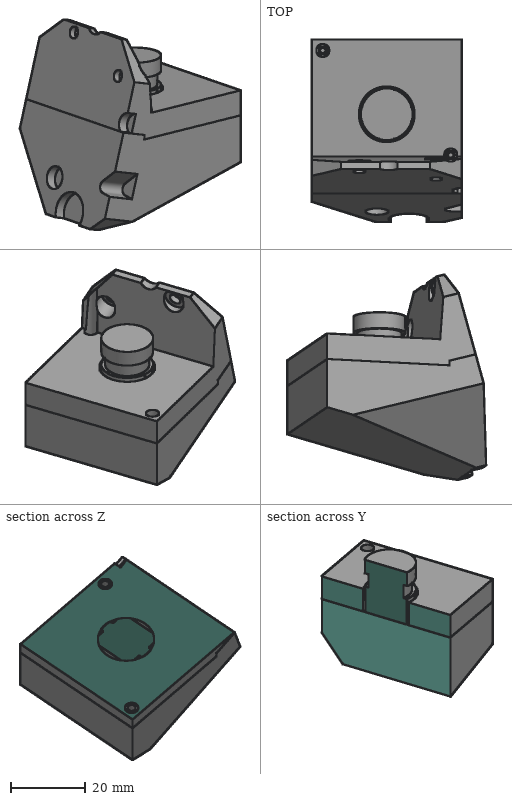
import cadquery as cq
import math

WIDTH = 40.5
DEPTH = 49.3
HEIGHT = 50.75
FACE_TILT = math.radians(16)
THROUGH_LENGTH = 76.15

TOE_Y = 2.9
FACE_FOOT_Z = TOE_Y * math.tan(FACE_TILT)
FACE_TOP_Y = (HEIGHT - FACE_FOOT_Z) * math.tan(FACE_TILT)
BACK_BOTTOM_Z = 11.05
PLATE_TOP_Z = 31.35
PARTING_Z = 24.3
STEP_Y = 15.15
PARTING_FRONT_Z = 27.7
PARTING_FRONT_Y = (PARTING_FRONT_Z - FACE_FOOT_Z) * math.tan(FACE_TILT)
STEP_Z = PARTING_FRONT_Z - (STEP_Y - PARTING_FRONT_Y) * math.tan(FACE_TILT)
WALL_FOOT_Y = 17.65
WALL_TOP_Y = 16.25
WALL_TOP_Z = HEIGHT - (WALL_TOP_Y - FACE_TOP_Y) * math.tan(FACE_TILT)

FACE_LENGTH = (HEIGHT - FACE_FOOT_Z) / math.cos(FACE_TILT)
FACE_OUTLINE = [
    (17.25, 0),
    (35.65, 0),
    (WIDTH, 4.05),
    (WIDTH, 42.0),
    (31.9, FACE_LENGTH),
    (7.9, FACE_LENGTH),
    (0, 45.2),
    (0, 19.8),
]

FACE_HOLES = [(12.9, 49.45), (33.6, 42.15)]
FACE_HOLE_D = 3.2
FACE_HOLE_SEAT_D = 6.0
FACE_HOLE_WEB = 2.1
FACE_HOLE_SEAT_LENGTH = 7.1
TOP_NOTCH_D = 6.0
TOP_NOTCH_U = 20.75
TOP_NOTCH_DEPTH = 1.1
POCKET_DEPTH = 3.0
SIDE_POCKET_D = 6.0
SIDE_POCKET_CENTRE = (40.95, 30.45)
ROUND_POCKET_D = 6.2
ROUND_POCKET_CENTRE = (17.6, 10.2)
BOTTOM_POCKET_D = 10.9
BOTTOM_POCKET_CENTRE = (26.25, 2.6)
SLOT_END_D = 3.5
SLOT_CENTRE = (37.7, 12.3)
SLOT_UPPER_ANGLE = math.radians(42)
SLOT_LOWER_ANGLE = math.radians(-8)
SLOT_LENGTH = 7.6
SLOT_DEPTH = 8.2

SCREW_INSET = 3.0
SCREW_PLACES = [(SCREW_INSET, DEPTH - SCREW_INSET), (WIDTH - SCREW_INSET, 18.05)]
SCREW_HEAD_D = 3.5
SCREW_HEAD_DEPTH = 3.55
SCREW_SHANK_D = 2.2
SCREW_THREAD_D = 1.5
SCREW_THREAD_DEPTH = 6.1

KNOB_CENTRE = (WIDTH / 2, 29.1)
KNOB_HEAD_D = 14.0
KNOB_TOP_Z = 40.6
KNOB_HEAD_BOTTOM_Z = 36.25
KNOB_NECK_D = 12.0
COLLAR_TOP_Z = 32.3
KNOB_BORE_D = 15.0
FOOT_TOP_Z = 27.9
FOOT_FLATS = 13.05
LUG_WIDTH = 3.95
GROOVE_WIDTH = 0.3
GROOVE_DEPTH = 0.15


def side_profile(points):
    """Solid with the given Y-Z outline over the full width."""
    return cq.Workplane("YZ").polyline(points).close().extrude(WIDTH)


def face_plane(depth=0.0):
    """Workplane on the front face, or parallel to it at a depth inside."""
    outward = cq.Vector(0, -math.cos(FACE_TILT), math.sin(FACE_TILT))
    origin = cq.Vector(0, 0, FACE_FOOT_Z) - outward * depth
    return cq.Workplane(cq.Plane(origin=origin, xDir=(1, 0, 0), normal=outward))


def face_cylinder(centres, diameter, length, start=0.0):
    """Cylinders running inward, square to the front face."""
    return face_plane(start).pushPoints(centres).circle(diameter / 2).extrude(-length)


def vertical_cylinder(centres, diameter, bottom, top):
    """Upright cylinders between two heights."""
    plane = cq.Workplane("XY").workplane(offset=bottom)
    return plane.pushPoints(centres).circle(diameter / 2).extrude(top - bottom)


def face_prism():
    """Front face outline carried back square to the face."""
    return face_plane().polyline(FACE_OUTLINE).close().extrude(-THROUGH_LENGTH)


def side_slot():
    """Slot with a round inner end and two sides that spread toward +X."""
    radius = SLOT_END_D / 2
    u, v = SLOT_CENTRE

    def along_side(angle, side, distance):
        return (
            u - side * radius * math.sin(angle) + distance * math.cos(angle),
            v + side * radius * math.cos(angle) + distance * math.sin(angle),
        )

    sides = [
        along_side(SLOT_UPPER_ANGLE, 1, 0),
        along_side(SLOT_UPPER_ANGLE, 1, SLOT_LENGTH),
        along_side(SLOT_LOWER_ANGLE, -1, SLOT_LENGTH),
        along_side(SLOT_LOWER_ANGLE, -1, 0),
    ]
    inner_end = (u - radius, v)
    outline = face_plane().moveTo(*sides[0]).lineTo(*sides[1]).lineTo(*sides[2]).lineTo(*sides[3])
    return outline.threePointArc(inner_end, sides[0]).close().extrude(-SLOT_DEPTH)


def make_lower_block():
    block = side_profile([
        (0, FACE_FOOT_Z),
        (TOE_Y, 0),
        (DEPTH, BACK_BOTTOM_Z),
        (DEPTH, PARTING_Z),
        (STEP_Y, PARTING_Z),
        (STEP_Y, STEP_Z),
        (PARTING_FRONT_Y, PARTING_FRONT_Z),
    ])
    block = block.intersect(face_prism())
    block = block.cut(face_cylinder([ROUND_POCKET_CENTRE], ROUND_POCKET_D, POCKET_DEPTH))
    block = block.cut(face_cylinder([BOTTOM_POCKET_CENTRE], BOTTOM_POCKET_D, POCKET_DEPTH))
    block = block.cut(side_slot())
    thread_bottom = PARTING_Z - SCREW_THREAD_DEPTH
    return block.cut(vertical_cylinder(SCREW_PLACES, SCREW_THREAD_D, thread_bottom, PARTING_Z))


def make_upper_block():
    plate_front_y = (PLATE_TOP_Z - FACE_FOOT_Z) * math.tan(FACE_TILT)
    plate = side_profile([
        (PARTING_FRONT_Y, PARTING_FRONT_Z),
        (STEP_Y, STEP_Z),
        (STEP_Y, PARTING_Z),
        (DEPTH, PARTING_Z),
        (DEPTH, PLATE_TOP_Z),
        (plate_front_y, PLATE_TOP_Z),
    ])
    wall = side_profile([
        (plate_front_y, PLATE_TOP_Z),
        (WALL_FOOT_Y, PLATE_TOP_Z),
        (WALL_TOP_Y, WALL_TOP_Z),
        (FACE_TOP_Y, HEIGHT),
    ])
    notch_centre = (TOP_NOTCH_U, FACE_LENGTH + TOP_NOTCH_D / 2 - TOP_NOTCH_DEPTH)
    wall = wall.intersect(face_prism())
    wall = wall.cut(face_cylinder([notch_centre], TOP_NOTCH_D, THROUGH_LENGTH))
    block = plate.union(wall)

    block = block.cut(face_cylinder(FACE_HOLES, FACE_HOLE_D, FACE_HOLE_WEB))
    seats = face_cylinder(FACE_HOLES, FACE_HOLE_SEAT_D, FACE_HOLE_SEAT_LENGTH, FACE_HOLE_WEB)
    block = block.cut(seats)
    block = block.cut(face_cylinder([SIDE_POCKET_CENTRE], SIDE_POCKET_D, POCKET_DEPTH))

    seat_z = PLATE_TOP_Z - SCREW_HEAD_DEPTH
    block = block.cut(vertical_cylinder(SCREW_PLACES, SCREW_HEAD_D, seat_z, HEIGHT))
    block = block.cut(vertical_cylinder(SCREW_PLACES, SCREW_SHANK_D, PARTING_Z, seat_z))
    return block.cut(vertical_cylinder([KNOB_CENTRE], KNOB_BORE_D, PARTING_Z, PLATE_TOP_Z))


def knob_foot():
    """Disc with four flats and a lug on each X side, filling the bore's diameter."""
    height = FOOT_TOP_Z - PARTING_Z
    plane = cq.Workplane("XY").workplane(offset=PARTING_Z).center(*KNOB_CENTRE)
    square = plane.rect(FOOT_FLATS, FOOT_FLATS).extrude(height)
    lugs = plane.rect(KNOB_BORE_D, LUG_WIDTH).extrude(height)
    return square.union(lugs).intersect(plane.circle(KNOB_BORE_D / 2).extrude(height))


def collar_grooves():
    """Upright grooves beside each lug, cut into the collar's rim."""
    x_offset = KNOB_HEAD_D / 2 * math.cos(math.asin(LUG_WIDTH / KNOB_HEAD_D))
    y_offset = (LUG_WIDTH + GROOVE_WIDTH) / 2
    places = [(sx * x_offset, sy * y_offset) for sx in (-1, 1) for sy in (-1, 1)]
    plane = cq.Workplane("XY").workplane(offset=FOOT_TOP_Z).center(*KNOB_CENTRE)
    grooves = plane.pushPoints(places).rect(2 * GROOVE_DEPTH, GROOVE_WIDTH)
    return grooves.extrude(COLLAR_TOP_Z - FOOT_TOP_Z)


def make_knob():
    collar = vertical_cylinder([KNOB_CENTRE], KNOB_HEAD_D, FOOT_TOP_Z, COLLAR_TOP_Z)
    collar = collar.cut(collar_grooves())
    neck = vertical_cylinder([KNOB_CENTRE], KNOB_NECK_D, COLLAR_TOP_Z, KNOB_HEAD_BOTTOM_Z)
    head = vertical_cylinder([KNOB_CENTRE], KNOB_HEAD_D, KNOB_HEAD_BOTTOM_Z, KNOB_TOP_Z)
    return knob_foot().union(collar).union(neck).union(head)


lower_block = make_lower_block().solids()
upper_block = make_upper_block().solids()
knob = make_knob().solids()

result = cq.Compound.makeCompound([lower_block.val(), upper_block.val(), knob.val()])